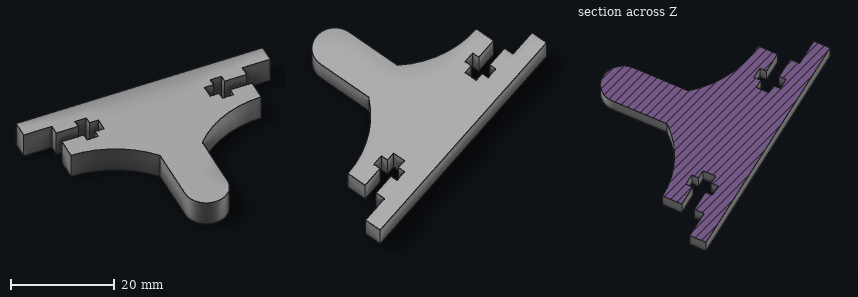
import cadquery as cq
import math

length = 52.5
thickness = 5.6
total_width = 36.1

bar_width = 3.6

body_half_length = 20.25
body_end_x = 12.65
flare_radius = 21.0

handle_width = 9.05
handle_radius = handle_width / 2
handle_center_x = total_width - handle_radius

slot_center_x = 7.05
slot_width = 2.7
slot_bottom_y = 11.3
nut_length = 5.65
nut_width = 2.35
nut_center_y = 14.4


def flare_x(y):
    """X of the concave flare, which leaves the body end parallel to Y."""
    offset = body_half_length - y
    return body_end_x + flare_radius - math.sqrt(flare_radius**2 - offset**2)


def make_bar():
    return cq.Workplane("XY").box(bar_width, length, thickness, centered=(False, True, False))


def make_body():
    flare_end_x = flare_x(handle_radius)
    flare_middle_y = (body_half_length + handle_radius) / 2
    flare_middle_x = flare_x(flare_middle_y)
    return (
        cq.Workplane("XY")
        .moveTo(0, -body_half_length)
        .lineTo(body_end_x, -body_half_length)
        .threePointArc((flare_middle_x, -flare_middle_y), (flare_end_x, -handle_radius))
        .lineTo(handle_center_x, -handle_radius)
        .threePointArc((total_width, 0), (handle_center_x, handle_radius))
        .lineTo(flare_end_x, handle_radius)
        .threePointArc((flare_middle_x, flare_middle_y), (body_end_x, body_half_length))
        .lineTo(0, body_half_length)
        .close()
        .extrude(thickness)
    )


def make_slot(side):
    """Cut shape of one slot; side is +1 or -1 along Y."""
    slot_depth = body_half_length - slot_bottom_y
    slot_center_y = slot_bottom_y + slot_depth / 2
    screw_slot = (
        cq.Workplane("XY")
        .center(slot_center_x, side * slot_center_y)
        .rect(slot_width, slot_depth)
        .extrude(thickness)
    )
    nut_pocket = (
        cq.Workplane("XY")
        .center(slot_center_x, side * nut_center_y)
        .rect(nut_length, nut_width)
        .extrude(thickness)
    )
    return screw_slot.union(nut_pocket)


result = make_bar().union(make_body())
for side in (1, -1):
    result = result.cut(make_slot(side))